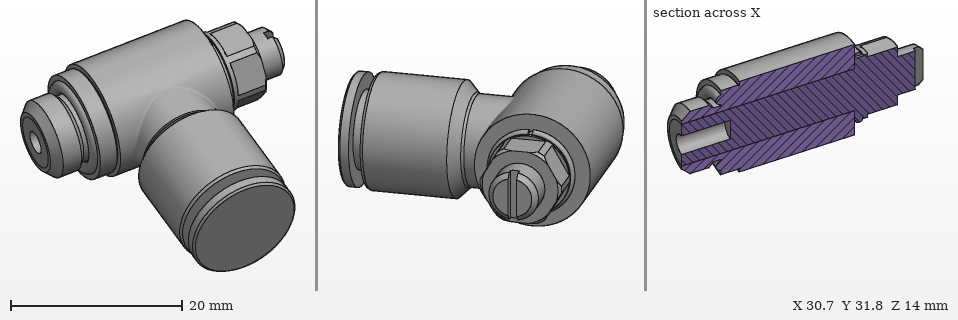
import cadquery as cq


barrel_radius = 7.0
barrel_top = 7.5
barrel_bottom = -7.52
neck_radius = 5.52
neck_end = 8.8
neck_blend = 0.32
socket_foot = 9.15
socket_foot_radius = 5.65
socket_start = 10.47
socket_end = 20.63
socket_rim = 20.98
socket_rim_radius = 6.8
socket_face = 21.2
socket_face_radius = 5.0
stem_radius = 4.75
collar_start = 22.38
collar_end = 23.68
collar_radius = 6.8
collar_chamfer = 0.25

thread_bottom = -15.05
thread_radius = 4.82
thread_chamfer = 1.1
thread_start = -11.5
neck_groove_radius = 4.2
neck_groove_bottom = -10.9
flange_radius = 6.5
flange_bottom = -9.95
flange_chamfer = 0.2

seal_ring_radius = 5.05
seal_section_radius = 0.8
seal_center = -9.78

shaft_radius = 3.17
hole_radius = 1.4
hole_depth = 6.35
shoulder_radius = 4.82

hex_across_flats = 8.92
hex_collar_radius = 4.92
hex_collar_bottom = 8.65
hex_bottom = 9.2
hex_top = 13.1
hex_chamfer = 0.35

ring_radius = 4.82
ring_section_radius = 0.48
ring_center = 8.1
ring_gap = 0.5

screw_radius = 2.98
screw_top = 16.7
screw_chamfer = 0.65
slot_width = 1.05
slot_depth = 1.27


def cylinder_y(radius, start, end):
    """Cylinder on the Y axis between two Y positions."""
    base = cq.Workplane("XZ", origin=(0, start, 0))
    return base.circle(radius).extrude(start - end)


def torus_y(ring, section, center):
    """Ring of round section around the Y axis."""
    profile = cq.Workplane("XY").center(ring, center).circle(section)
    return profile.revolve(360, (-ring, 0, 0), (-ring, 1, 0))


def make_barrel_with_neck():
    barrel = cylinder_y(barrel_radius, barrel_bottom, barrel_top)
    neck = cq.Workplane("YZ").circle(neck_radius).extrude(neck_end)
    body = barrel.union(neck)

    seam_box = cq.selectors.BoxSelector(
        (0, -barrel_radius, -barrel_radius),
        (barrel_radius + neck_blend, barrel_radius, barrel_radius),
    )
    return body.edges(seam_box).fillet(neck_blend)


def make_port():
    """Socket, stem and release collar turned around the X axis."""
    return (
        cq.Workplane("XY")
        .moveTo(neck_end, 0)
        .lineTo(neck_end, neck_radius)
        .lineTo(socket_foot, socket_foot_radius)
        .lineTo(socket_start, barrel_radius)
        .lineTo(socket_end, barrel_radius)
        .lineTo(socket_rim, socket_rim_radius)
        .lineTo(socket_face, socket_face_radius)
        .lineTo(socket_face, stem_radius)
        .lineTo(collar_start, stem_radius)
        .lineTo(collar_start, collar_radius)
        .lineTo(collar_end - collar_chamfer, collar_radius)
        .lineTo(collar_end, collar_radius - collar_chamfer)
        .lineTo(collar_end, 0)
        .close()
        .revolve(360, (0, 0, 0), (1, 0, 0))
    )


def make_threaded_end():
    """Flange, neck groove and thread turned around the Y axis, with the seal ring."""
    turned = (
        cq.Workplane("XY")
        .moveTo(0, thread_bottom)
        .lineTo(thread_radius - thread_chamfer, thread_bottom)
        .lineTo(thread_radius, thread_bottom + thread_chamfer)
        .lineTo(thread_radius, thread_start)
        .lineTo(neck_groove_radius, neck_groove_bottom)
        .lineTo(neck_groove_radius, flange_bottom)
        .lineTo(flange_radius, flange_bottom)
        .lineTo(flange_radius, barrel_bottom - flange_chamfer)
        .lineTo(flange_radius - flange_chamfer, barrel_bottom)
        .lineTo(0, barrel_bottom)
        .close()
        .revolve(360, (0, 0, 0), (0, 1, 0))
    )
    return turned.union(torus_y(seal_ring_radius, seal_section_radius, seal_center))


def make_housing():
    body = make_barrel_with_neck().union(make_port()).union(make_threaded_end())
    return body.cut(cylinder_y(shaft_radius, thread_bottom, barrel_top))


def make_turned_spindle():
    """Spindle shape turned around the Y axis, before the flats and slot."""
    return (
        cq.Workplane("XY")
        .moveTo(0, thread_bottom)
        .lineTo(shaft_radius, thread_bottom)
        .lineTo(shaft_radius, barrel_top)
        .lineTo(shoulder_radius, barrel_top)
        .lineTo(shoulder_radius, hex_collar_bottom)
        .lineTo(hex_collar_radius, hex_collar_bottom)
        .lineTo(hex_collar_radius, hex_top - hex_chamfer)
        .lineTo(hex_collar_radius - hex_chamfer, hex_top)
        .lineTo(screw_radius, hex_top)
        .lineTo(screw_radius, screw_top - screw_chamfer)
        .lineTo(screw_radius - screw_chamfer, screw_top)
        .lineTo(0, screw_top)
        .close()
        .revolve(360, (0, 0, 0), (0, 1, 0))
    )


def make_hex_cutter():
    """Material outside the hexagon, which has one pair of flats facing +Z and -Z."""
    base = cq.Workplane("XZ", origin=(0, hex_bottom, 0))
    height = hex_top - hex_bottom
    outside = base.circle(barrel_radius).extrude(-height)
    hexagon = base.polygon(6, hex_across_flats, circumscribed=True).extrude(-height)
    hexagon = hexagon.rotate((0, 0, 0), (0, 1, 0), 30)
    return outside.cut(hexagon)


def make_retaining_ring():
    """Ring with a narrow gap on its +Z side, down to the surface of the spindle."""
    gap = cq.Workplane("XY", origin=(0, ring_center, 0)).rect(ring_gap, 2 * barrel_radius)
    return torus_y(ring_radius, ring_section_radius, ring_center).cut(gap.extrude(barrel_radius))


def make_spindle():
    spindle = make_turned_spindle().cut(make_hex_cutter()).union(make_retaining_ring())

    slot = cq.Workplane("XY", origin=(0, screw_top, 0))
    spindle = spindle.cut(slot.box(slot_width, 2 * slot_depth, 2 * screw_radius))

    return spindle.cut(cylinder_y(hole_radius, thread_bottom, thread_bottom + hole_depth))


housing = make_housing()
spindle = make_spindle()
result = cq.Compound.makeCompound([housing.val(), spindle.val()])